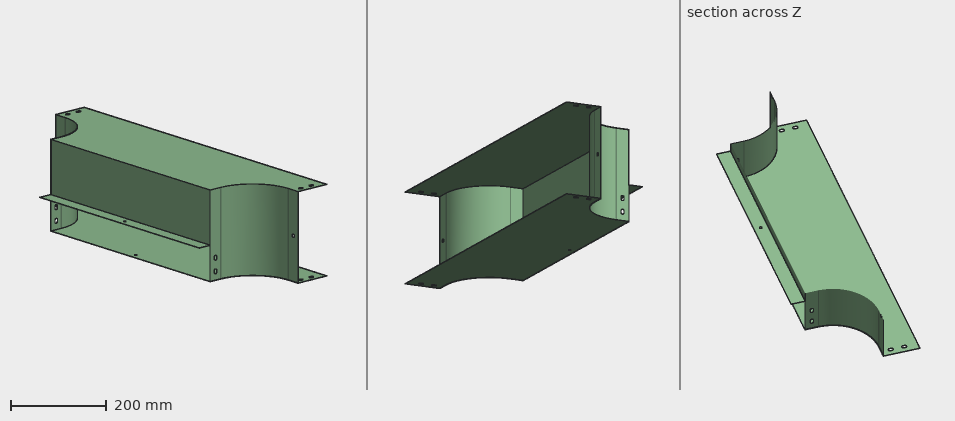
import cadquery as cq

length = 760.0
depth = 240.0
height = 200.0
sheet = 1.0

lip = 30.5
end_depth = 80.5
branch_width = 500.0
front_wall_height = 121.0

slot_width = 7.0
slot_length = 11.0
end_screw_diameter = 7.0
central_screw_diameter = 5.0
hole_pitch = 30.0
slot_rows = (hole_pitch, 2 * hole_pitch)
first_wall_slot = 20.0

back_y = depth / 2
flange_y = -depth / 2
front_y = flange_y + lip
end_y = back_y - end_depth
half_length = length / 2
half_branch = branch_width / 2
bend_radius = half_length - half_branch - lip
bend_y = end_y - bend_radius
cut_size = length

end_hole_x = half_length - lip / 2
front_hole_y = front_y + lip / 2


def tee_prism(offset, bottom, top):
    """Tee outline with its curved flanks moved inward by offset."""
    branch_x = half_branch - offset
    flank_y = end_y + offset
    arc_x = half_length - lip
    outline = (
        cq.Workplane("XY", origin=(0, 0, bottom))
        .moveTo(-half_length, back_y)
        .lineTo(half_length, back_y)
        .lineTo(half_length, flank_y)
        .lineTo(arc_x, flank_y)
        .radiusArc((branch_x, bend_y), -(bend_radius + offset))
        .lineTo(branch_x, front_y)
        .lineTo(-branch_x, front_y)
        .lineTo(-branch_x, bend_y)
        .radiusArc((-arc_x, flank_y), -(bend_radius + offset))
        .lineTo(-half_length, flank_y)
        .close()
    )
    return outline.extrude(top - bottom)


def box_between(low, high):
    size = [b - a for a, b in zip(low, high)]
    return cq.Workplane("XY").box(*size, centered=False).translate(low)


z_low = -height / 2
z_high = height / 2
body = tee_prism(0, z_low, z_high).cut(tee_prism(sheet, z_low + sheet, z_high - sheet))

wall_bottom = z_high - front_wall_height
body = body.union(
    box_between((-half_branch, front_y, wall_bottom), (half_branch, front_y + sheet, z_high))
)
body = body.union(
    box_between(
        (-half_branch, flange_y, wall_bottom),
        (half_branch, front_y + sheet, wall_bottom + sheet),
    )
)

plate_slots = [(side * end_hole_x, back_y - row) for side in (-1, 1) for row in slot_rows]
body = body.cut(
    cq.Workplane("XY").pushPoints(plate_slots)
    .slot2D(slot_length, slot_width, 90)
    .extrude(cut_size, both=True)
)

wall_slots = [(front_hole_y, z_low + first_wall_slot + step * hole_pitch) for step in (0, 1)]
body = body.cut(
    cq.Workplane("YZ").pushPoints(wall_slots)
    .slot2D(slot_length, slot_width, 90)
    .extrude(cut_size, both=True)
)

end_screws = [(side * end_hole_x, 0) for side in (-1, 1)]
body = body.cut(
    cq.Workplane("XZ").pushPoints(end_screws)
    .circle(end_screw_diameter / 2)
    .extrude(cut_size, both=True)
)

central_screws = [(0, front_y - lip / 2), (0, front_hole_y)]
body = body.cut(
    cq.Workplane("XY").pushPoints(central_screws).circle(central_screw_diameter / 2)
    .extrude(wall_bottom + sheet - z_low)
    .translate((0, 0, z_low))
)

result = body